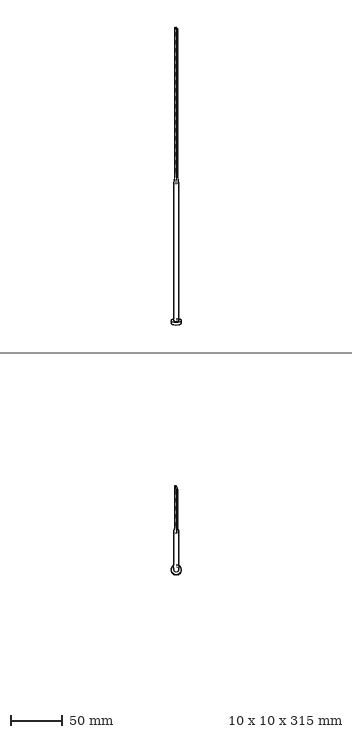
import cadquery as cq
import math

total_length = 315.0
head_diameter = 10.0
head_height = 3.0
shank_diameter = 5.0
blade_width = 4.5
blade_thickness = 1.5
blade_start = 160.0
transition_length = 10.0

transition_start = blade_start - transition_length


def make_head_and_shank():
    """Stepped round body turned about Z, ending where the transition starts."""
    return (
        cq.Workplane("XZ")
        .moveTo(0, 0)
        .lineTo(-head_diameter / 2, 0)
        .lineTo(-head_diameter / 2, head_height)
        .lineTo(-shank_diameter / 2, head_height)
        .lineTo(-shank_diameter / 2, transition_start)
        .lineTo(0, transition_start)
        .close()
        .revolve(360, (0, 0, 0), (0, 1, 0))
    )


def make_blade():
    """Flat rectangular blade reaching from the transition to the tip."""
    blade_length = total_length - blade_start
    return (
        cq.Workplane("XY")
        .workplane(offset=blade_start)
        .rect(blade_width, blade_thickness)
        .extrude(blade_length)
    )


def make_transition():
    """Loft from four arcs of the round shank to the four sides of the blade section.

    The arcs meet where the blade side planes cut the shank circle.
    """
    radius = shank_diameter / 2
    corner_x = blade_width / 2
    corner_y = math.sqrt(radius**2 - corner_x**2)
    shank_section = (
        cq.Workplane("XY")
        .workplane(offset=transition_start)
        .moveTo(-corner_x, -corner_y)
        .threePointArc((0, -radius), (corner_x, -corner_y))
        .threePointArc((radius, 0), (corner_x, corner_y))
        .threePointArc((0, radius), (-corner_x, corner_y))
        .threePointArc((-radius, 0), (-corner_x, -corner_y))
        .close()
    )
    return (
        shank_section
        .workplane(offset=transition_length)
        .rect(blade_width, blade_thickness)
        .loft(combine=True, ruled=True)
    )


result = make_head_and_shank().union(make_transition()).union(make_blade())